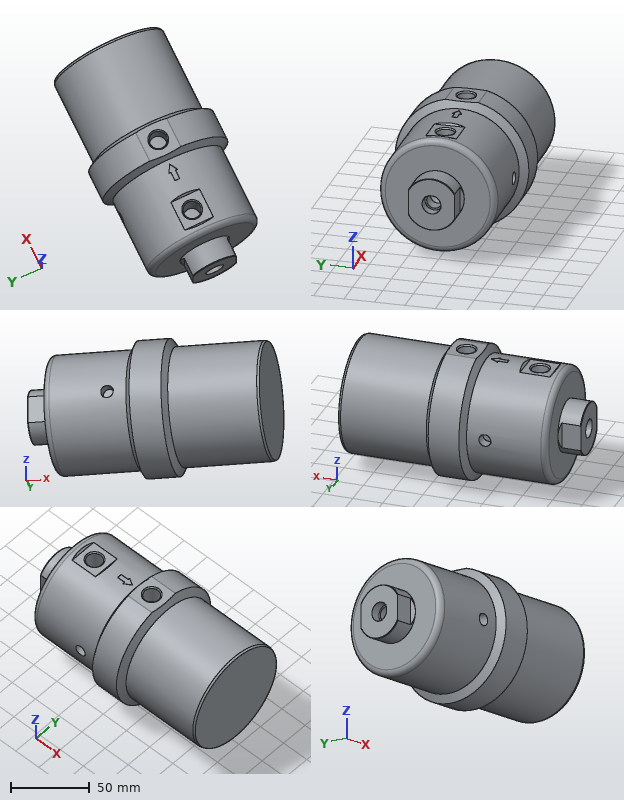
import cadquery as cq
import math

length = 154.7
body_dia = 77.0
flange_dia = 88.0
stem_dia = 35.0

body_start = 14.7
flange_start = 68.5
flange_end = 95.6
flange_bevel_run = 3.2

nose_radius = 4.0
tail_chamfer_run = 1.5
tail_chamfer_rise = 0.6
stem_tip_run = 0.5
stem_tip_rise = 0.3

flats_width = 30.3
flats_length = 12.8

bore_dia = 12.4
bore_depth = 6.8
drill_dia = 10.0
drill_depth = 15.5
drill_point_angle = 118.0

port_dia = 11.5
port_mouth_dia = 13.1
port_chamfer = (port_mouth_dia - port_dia) / 2
body_port_x = 32.8
flange_port_x = (flange_start + flange_end) / 2
body_port_core_dia = 37.1
flange_port_core_dia = 58.8

body_seat_size = 20.1
seat_overcut = 1.5
body_seat_z = math.sqrt((body_dia / 2) ** 2 - (body_seat_size / 2) ** 2)
flange_seat_width = 21.8
flange_seat_z = math.sqrt((flange_dia / 2) ** 2 - (flange_seat_width / 2) ** 2)

vent_dia = 8.0
vent_depth = 7.7
vent_x = 56.3

arrow_tail_x = 54.3
arrow_neck_x = 60.3
arrow_tip_x = 65.5
arrow_shaft_width = 3.2
arrow_head_width = 6.0
arrow_depth = 0.2


def cylinder_x(diameter, start, end):
    """Solid cylinder on the X axis between two stations."""
    return cq.Workplane("YZ").workplane(offset=start).circle(diameter / 2).extrude(end - start)


def turned_body():
    """Stem, body and bevelled flange revolved about X."""
    stem_r = stem_dia / 2
    body_r = body_dia / 2
    flange_r = flange_dia / 2
    arc_mid = nose_radius * (1 - math.sqrt(0.5))
    profile = (
        cq.Workplane("XY")
        .moveTo(0, 0)
        .lineTo(0, stem_r - stem_tip_rise)
        .lineTo(stem_tip_run, stem_r)
        .lineTo(body_start, stem_r)
        .lineTo(body_start, body_r - nose_radius)
        .threePointArc((body_start + arc_mid, body_r - arc_mid), (body_start + nose_radius, body_r))
        .lineTo(flange_start, body_r)
        .lineTo(flange_start + flange_bevel_run, flange_r)
        .lineTo(flange_end - flange_bevel_run, flange_r)
        .lineTo(flange_end, body_r)
        .lineTo(length - tail_chamfer_run, body_r)
        .lineTo(length, body_r - tail_chamfer_rise)
        .lineTo(length, 0)
        .close()
    )
    return profile.revolve(360, (0, 0, 0), (1, 0, 0))


def stem_flat(side):
    """Cutter for one wrench flat, running out on a slope at the body face."""
    flat_y = side * flats_width / 2
    outer_y = side * stem_dia / 2
    outline = [(0, flat_y), (flats_length, flat_y), (body_start, outer_y), (0, outer_y)]
    return cq.Workplane("XY").polyline(outline).close().extrude(stem_dia / 2, both=True)


def stem_bore():
    """Cutter for the counterbored, drill-pointed hole in the stem."""
    drill_r = drill_dia / 2
    point_length = drill_r / math.tan(math.radians(drill_point_angle / 2))
    outline = [
        (0, 0),
        (0, bore_dia / 2),
        (bore_depth, bore_dia / 2),
        (bore_depth, drill_r),
        (drill_depth, drill_r),
        (drill_depth + point_length, 0),
    ]
    return cq.Workplane("XY").polyline(outline).close().revolve(360, (0, 0, 0), (1, 0, 0))


def body_seat():
    """Cutter for the flat seat on the body, with 45 degree ends."""
    rise = body_dia / 2 - body_seat_z + seat_overcut
    half = body_seat_size / 2
    outline = [
        (body_port_x - half - rise, body_seat_z + rise),
        (body_port_x - half, body_seat_z),
        (body_port_x + half, body_seat_z),
        (body_port_x + half + rise, body_seat_z + rise),
    ]
    return cq.Workplane("XZ").polyline(outline).close().extrude(body_seat_size, both=True)


def flange_seat():
    """Cutter for the flat on top of the flange."""
    flange_length = flange_end - flange_start
    block = cq.Workplane("XY").box(flange_length, flange_dia, flange_dia, centered=(False, True, False))
    return block.translate((flange_start, 0, flange_seat_z))


def port(x, seat_z, core_dia):
    """Cutter for a chamfered port that stops on a round core about X."""
    hole = cq.Workplane("XY").center(x, 0).circle(port_dia / 2).extrude(seat_z)
    mouth = (
        cq.Workplane("XY", origin=(x, 0, seat_z))
        .circle(port_mouth_dia / 2)
        .workplane(offset=-port_chamfer)
        .circle(port_dia / 2)
        .loft()
    )
    core = cylinder_x(core_dia, x - port_dia, x + port_dia)
    return hole.union(mouth).cut(core)


def vent(side):
    """Cutter for one blind side hole."""
    floor_y = side * (body_dia / 2 - vent_depth)
    floor = cq.Workplane("XZ", origin=(vent_x, floor_y, 0)).circle(vent_dia / 2)
    return floor.extrude(-side * vent_depth)


def flow_arrow():
    """Cutter for the arrow, of even depth below the body surface."""
    shaft = arrow_shaft_width / 2
    head = arrow_head_width / 2
    outline = [
        (arrow_tail_x, -shaft),
        (arrow_neck_x, -shaft),
        (arrow_neck_x, -head),
        (arrow_tip_x, 0),
        (arrow_neck_x, head),
        (arrow_neck_x, shaft),
        (arrow_tail_x, shaft),
    ]
    prism = cq.Workplane("XY").polyline(outline).close().extrude(body_dia)
    return prism.cut(cylinder_x(body_dia - 2 * arrow_depth, body_start, flange_start))


result = turned_body().cut(stem_bore()).cut(body_seat()).cut(flange_seat())
for side in (-1, 1):
    result = result.cut(stem_flat(side)).cut(vent(side))
result = result.cut(port(body_port_x, body_seat_z, body_port_core_dia))
result = result.cut(port(flange_port_x, flange_seat_z, flange_port_core_dia))
result = result.cut(flow_arrow())